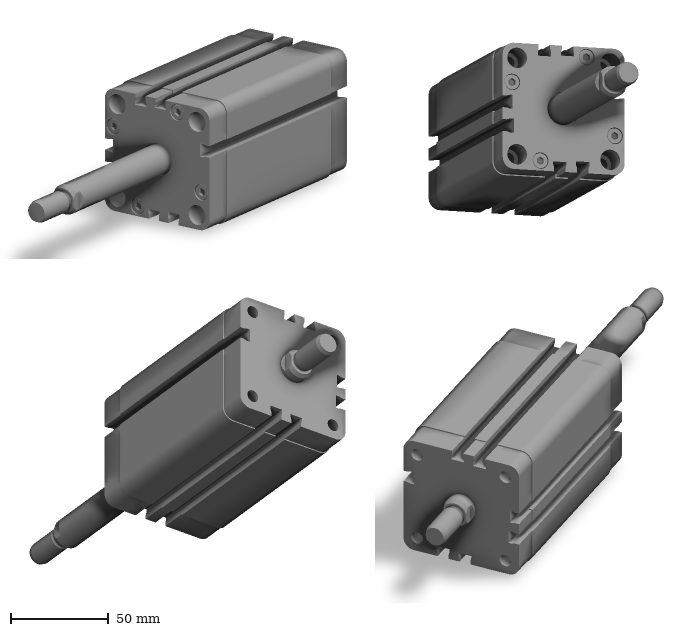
import cadquery as cq
import math

overall_length = 258.5
rear_rod_length = 31.3
cap_length = 14.7
barrel_length = 91.5

barrel_width = 67.0
cap_width = 65.7
corner_centre = 27.0

mount_spacing = 50.1
mount_hole_diameter = 6.7
counterbore_diameter = 10.5
counterbore_depth = cap_length

screw_near_offset = 12.5
screw_far_offset = 27.7
screw_pocket_diameter = 8.5
screw_pocket_depth = 5.2
screw_head_diameter = 8.0
screw_head_recess = 0.5
screw_head_chamfer = 0.3
socket_flats = 3.5
socket_depth = 2.0

slot_mouth_width = 6.2
slot_undercut = 0.5
slot_mouth_depth = 2.8
slot_shoulder_height = 1.8
outer_slot_left = -13.5
outer_slot_floor = 27.0
inner_slot_left = -1.0
inner_slot_floor = 27.7
inner_slot_lip = 0.5
inner_slot_lip_depth = 2.3

rod_diameter = 16.0
rod_clearance_diameter = 17.5
rod_clearance_depth = 2.0
stud_length = 23.5
stud_diameter = 12.0
stud_tip_diameter = 10.3
stud_tip_length = 2.3
neck_diameter = 10.0
neck_length = 2.3
neck_taper_length = 0.8
shoulder_diameter = 13.5
shoulder_length = 2.3
wrench_flats = 13.0
wrench_flat_length = 5.5

rod_rear = overall_length / 2
body_rear = rod_rear - rear_rod_length
barrel_rear = body_rear - cap_length
barrel_front = barrel_rear - barrel_length
body_front = barrel_front - cap_length
body_length = body_rear - body_front

slot_mouth_bottom = barrel_width / 2 - slot_mouth_depth
slot_shoulder_bottom = slot_mouth_bottom - slot_shoulder_height


def section_plane(y):
    """Plane at the given Y whose local axes are X and Z and whose normal is -Y."""
    return cq.Workplane("XZ", origin=(0, y, 0))


def square_block(width, front, rear):
    """Rounded square bar between two Y positions."""
    return (
        section_plane(rear)
        .rect(width, width)
        .extrude(rear - front)
        .edges("|Y")
        .fillet(width / 2 - corner_centre)
    )


def quarter_turn(shape, count):
    """Turn a shape about Y, taking the top face to the -X face on the first turn."""
    return shape.rotate((0, 0, 0), (0, 1, 0), -90 * count)


def slot_cutter(left, floor):
    """Slot along the top face, widening below its mouth; left is the mouth's left edge."""
    right = left + slot_mouth_width
    return (
        section_plane(body_rear)
        .moveTo(left, barrel_width)
        .lineTo(left, slot_mouth_bottom)
        .lineTo(left - slot_undercut, slot_shoulder_bottom)
        .lineTo(left - slot_undercut, floor)
        .lineTo(right + slot_undercut, floor)
        .lineTo(right + slot_undercut, slot_shoulder_bottom)
        .lineTo(right, slot_mouth_bottom)
        .lineTo(right, barrel_width)
        .close()
        .extrude(body_length)
    )


def slot_lip():
    """Thin lip on the left of the inner slot's mouth, along the barrel only."""
    return (
        section_plane(barrel_rear)
        .moveTo(inner_slot_left, barrel_width / 2 - inner_slot_lip_depth)
        .rect(inner_slot_lip, inner_slot_lip_depth, centered=False)
        .extrude(barrel_length)
    )


def slotted_body():
    """Barrel between two slightly smaller caps, slotted from end to end."""
    body = square_block(cap_width, body_front, body_rear)
    body = body.union(square_block(barrel_width, barrel_front, barrel_rear))
    outer_slot = slot_cutter(outer_slot_left, outer_slot_floor)
    for turn in range(4):
        body = body.cut(quarter_turn(outer_slot, turn))
    inner_slot = slot_cutter(inner_slot_left, inner_slot_floor)
    lip = slot_lip()
    for turn in range(3):
        body = body.cut(quarter_turn(inner_slot, turn))
        body = body.union(quarter_turn(lip, turn))
    return body


def mounting_holes():
    """Corner holes right through the body, counterbored from the front."""
    through = (
        section_plane(body_rear)
        .rect(mount_spacing, mount_spacing, forConstruction=True)
        .vertices()
        .circle(mount_hole_diameter / 2)
        .extrude(body_length)
    )
    counterbores = (
        section_plane(body_front + counterbore_depth)
        .rect(mount_spacing, mount_spacing, forConstruction=True)
        .vertices()
        .circle(counterbore_diameter / 2)
        .extrude(counterbore_depth)
    )
    return through.union(counterbores)


def screw_points():
    """Screw centres in X and Z, one beside each edge of the front face."""
    near, far = screw_near_offset, screw_far_offset
    return [(near, far), (-far, near), (-near, -far), (far, -near)]


def screw_pockets():
    return (
        section_plane(body_front + screw_pocket_depth)
        .pushPoints(screw_points())
        .circle(screw_pocket_diameter / 2)
        .extrude(screw_pocket_depth)
    )


def socket_corners(x, z):
    """Hexagon corners in X and Z, with two of the flats facing -X and +X."""
    sides = 6
    half_step = math.pi / sides
    corner_radius = socket_flats / 2 / math.cos(half_step)
    angles = [half_step * (2 * corner + 1) for corner in range(sides)]
    return [(x + corner_radius * math.cos(a), z + corner_radius * math.sin(a)) for a in angles]


def screw_heads():
    """Chamfered socket heads standing on the pocket floors."""
    head_length = screw_pocket_depth - screw_head_recess
    heads = (
        section_plane(body_front + screw_pocket_depth)
        .pushPoints(screw_points())
        .circle(screw_head_diameter / 2)
        .extrude(head_length)
        .faces("<Y")
        .edges()
        .chamfer(screw_head_chamfer)
    )
    head_front = body_front + screw_head_recess
    for x, z in screw_points():
        socket = (
            section_plane(head_front + socket_depth)
            .polyline(socket_corners(x, z))
            .close()
            .extrude(socket_depth)
        )
        heads = heads.cut(socket)
    return heads


def rod_clearance():
    """Shallow ring-shaped recess where the rod leaves the front cap."""
    return (
        section_plane(body_front + rod_clearance_depth)
        .circle(rod_clearance_diameter / 2)
        .extrude(rod_clearance_depth)
    )


def half_rod():
    """Rod revolved about Y from the middle of the part to its +Y end."""
    shoulder = rod_rear - stud_length
    neck_end = shoulder + neck_length
    return (
        cq.Workplane("XY")
        .lineTo(rod_diameter / 2, 0)
        .lineTo(rod_diameter / 2, shoulder - shoulder_length)
        .lineTo(shoulder_diameter / 2, shoulder)
        .lineTo(neck_diameter / 2, shoulder)
        .lineTo(neck_diameter / 2, neck_end)
        .lineTo(stud_diameter / 2, neck_end + neck_taper_length)
        .lineTo(stud_diameter / 2, rod_rear - stud_tip_length)
        .lineTo(stud_tip_diameter / 2, rod_rear)
        .lineTo(0, rod_rear)
        .close()
        .revolve(360, (0, 0), (0, 1))
    )


def wrench_flat():
    """Cutter for the +X flat at the +Y end, with a 45 degree run-out."""
    shoulder = rod_rear - stud_length
    flat_end = shoulder - wrench_flat_length
    flat_x = wrench_flats / 2
    run_out = rod_diameter - flat_x
    return (
        cq.Workplane("XY")
        .moveTo(flat_x, shoulder)
        .lineTo(flat_x, flat_end)
        .lineTo(flat_x + run_out, flat_end - run_out)
        .lineTo(flat_x + run_out, shoulder)
        .close()
        .extrude(rod_diameter / 2, both=True)
    )


def piston_rod():
    """Through rod with the same threaded end and flats at front and rear."""
    flat = wrench_flat()
    half = half_rod().cut(flat).cut(flat.mirror("YZ"))
    return half.union(half.mirror("XZ"))


cylinder = slotted_body().cut(mounting_holes()).cut(screw_pockets()).cut(rod_clearance())
result = cylinder.union(screw_heads()).union(piston_rod())